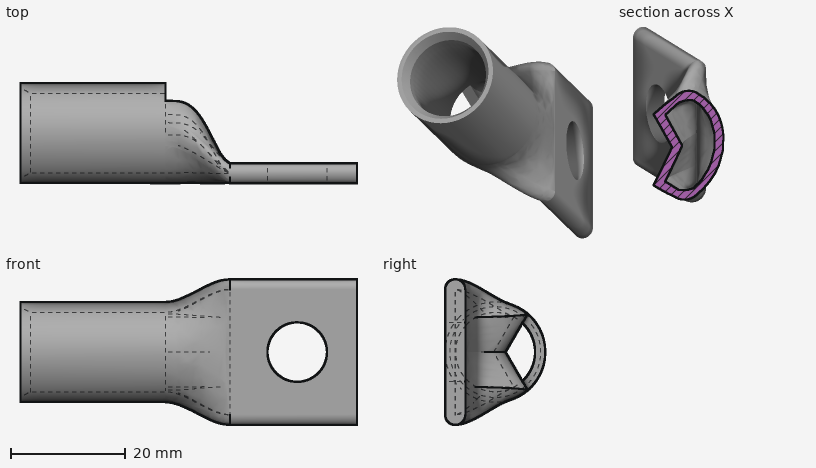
import cadquery as cq
import math

total_length = 58.65
barrel_length = 25.3
palm_start = 36.5
barrel_radius = 8.75
wall = 1.8
bore_radius = barrel_radius - wall
mouth_radius = 7.9
mouth_depth = 1.75

palm_width = 25.4
palm_thickness = 3.5
hole_diameter = 10.3
hole_x = 48.2

fold_apex_y = 1.8
fold_slope = math.tan(math.radians(60))
side_angle = math.radians(15)
fold_end_ratio = 0.55
fold_delay = 1.8
neck_steps = 6

slit_height = 0.1

palm_center_y = -barrel_radius + palm_thickness / 2


def mix(start, end, t):
    """Point between start and end at fraction t."""
    return start + (end - start) * t


def smooth(t):
    """Blend that is level at both ends."""
    return t * t * (3 - 2 * t)


def fold_corner(radius, apex_y):
    """Point (y, z) where the upper V flank meets the circle."""
    a = 1 + fold_slope**2
    b = -2 * apex_y * fold_slope**2
    c = (apex_y * fold_slope) ** 2 - radius**2
    y = (-b + math.sqrt(b * b - 4 * a * c)) / (2 * a)
    return y, fold_slope * (y - apex_y)


def neck_section(t, radius, apex_y, half_width, thickness):
    """Closed section at fraction t, from the folded circle (0) to the flat stadium (1)."""
    drop = 2 * t**2 - t**3
    spread = smooth(t)
    fold_drop = smooth(t**fold_delay)
    top_y = palm_center_y + thickness / 2
    bottom_y = palm_center_y - thickness / 2
    flat_z = half_width - thickness / 2

    def circle_to_flat(angle, end_y, end_z, y_blend):
        y = mix(radius * math.sin(angle), end_y, y_blend)
        z = mix(radius * math.cos(angle), end_z, spread)
        return y, z

    corner_y, corner_z = fold_corner(radius, apex_y)
    corner_angle = math.atan2(corner_y, corner_z)
    mid_angle = (corner_angle + side_angle) / 2
    corner_flat_z = flat_z * fold_end_ratio
    mid_flat_z = (flat_z + corner_flat_z) / 2

    apex = (mix(apex_y, top_y, fold_drop), 0)
    corner = circle_to_flat(corner_angle, top_y, corner_flat_z, fold_drop)
    shoulder = circle_to_flat(mid_angle, top_y, mid_flat_z, (drop + fold_drop) / 2)
    side_top = circle_to_flat(side_angle, top_y, flat_z, drop)
    side = circle_to_flat(0, palm_center_y, half_width, drop)
    side_bottom = circle_to_flat(-side_angle, bottom_y, flat_z, drop)
    bottom = (mix(-radius, bottom_y, drop), 0)

    def mirrored(point):
        return point[0], -point[1]

    x = mix(barrel_length, palm_start, t)
    outline = cq.Workplane("YZ", origin=(x, 0, 0)).moveTo(*apex).lineTo(*corner)
    if t < 1:
        outline = outline.threePointArc(shoulder, side_top)
        outline = outline.threePointArc(side, side_bottom)
        outline = outline.threePointArc(bottom, mirrored(side_bottom))
        outline = outline.threePointArc(mirrored(side), mirrored(side_top))
        outline = outline.threePointArc(mirrored(shoulder), mirrored(corner))
    else:
        outline = outline.lineTo(*side_top).threePointArc(side, side_bottom)
        outline = outline.lineTo(*mirrored(side_bottom))
        outline = outline.threePointArc(mirrored(side), mirrored(side_top))
        outline = outline.lineTo(*mirrored(corner))
    return outline.close().val()


def neck_loft(radius, apex_y, half_width, thickness):
    """Smooth solid through the sections between barrel and palm."""
    sections = [
        neck_section(i / neck_steps, radius, apex_y, half_width, thickness)
        for i in range(neck_steps + 1)
    ]
    return cq.Workplane(cq.Solid.makeLoft(sections))


def make_barrel():
    """Tube with a flared mouth."""
    profile = [
        (0, mouth_radius),
        (0, barrel_radius),
        (barrel_length, barrel_radius),
        (barrel_length, bore_radius),
        (mouth_depth, bore_radius),
    ]
    return cq.Workplane("XY").polyline(profile).close().revolve(360, (0, 0), (1, 0))


def make_neck():
    """Hollow transition with a wall as thick as the barrel's."""
    fold_wall = wall / math.sin(math.atan(fold_slope))
    outside = neck_loft(barrel_radius, fold_apex_y, palm_width / 2, palm_thickness)
    cavity = neck_loft(
        bore_radius, fold_apex_y - fold_wall, (palm_width - palm_thickness) / 2, slit_height
    )
    return outside.cut(cavity)


def make_palm():
    """Flat bar with round long edges and a bolt hole."""
    edge_radius = palm_thickness / 2
    top_y = palm_center_y + edge_radius
    bottom_y = palm_center_y - edge_radius
    flat_z = palm_width / 2 - edge_radius
    bar = (
        cq.Workplane("YZ", origin=(palm_start, 0, 0))
        .moveTo(top_y, -flat_z)
        .lineTo(top_y, flat_z)
        .radiusArc((palm_center_y, palm_width / 2), -edge_radius)
        .radiusArc((bottom_y, flat_z), -edge_radius)
        .lineTo(bottom_y, -flat_z)
        .radiusArc((palm_center_y, -palm_width / 2), -edge_radius)
        .radiusArc((top_y, -flat_z), -edge_radius)
        .close()
        .extrude(total_length - palm_start)
    )
    hole = (
        cq.Workplane("XZ", origin=(hole_x, 0, 0))
        .circle(hole_diameter / 2)
        .extrude(barrel_radius * 2, both=True)
    )
    return bar.cut(hole)


result = make_barrel().union(make_neck()).union(make_palm())